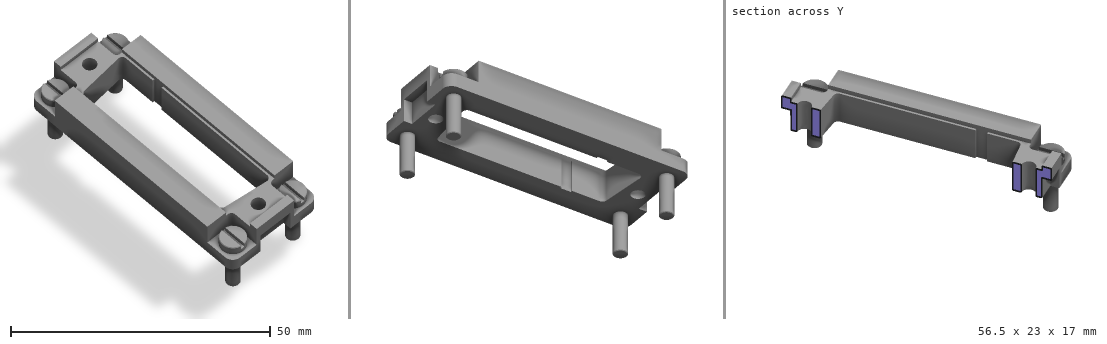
import cadquery as cq
import math

BODY_LENGTH = 56.5
BODY_WIDTH = 23.0
BODY_HEIGHT = 8.0
BODY_CORNER_RADIUS = 2.0
HALF_LENGTH = BODY_LENGTH / 2
HALF_WIDTH = BODY_WIDTH / 2

SADDLE_HEIGHT = 7.0
RAIL_WIDTH = 5.0
LIP_THICKNESS = 1.9
SADDLE_LENGTH = BODY_LENGTH - 2 * LIP_THICKNESS
SADDLE_WIDTH = BODY_WIDTH - 2 * RAIL_WIDTH

LEDGE_HEIGHT = 3.0
LEDGE_LENGTH = 7.0
LEDGE_WIDTH = 6.5
LEDGE_CORNER_RADIUS = 1.0

OPENING_WIDTH = 12.1
OPENING_MID_LENGTH = 40.25
OPENING_SIDE_ANGLE = 6.2
OPENING_CORNER_RADIUS = 1.0

NOTCH_CENTRE_X = -11.0
NOTCH_LENGTH = 2.45

HOLE_DIAMETER = 3.0
HOLE_SPACING = 47.0
RECESS_WIDTH = 8.0
RECESS_HEIGHT = 5.0
RECESS_DEPTH = 1.9

SCREW_SPACING_X = 49.5
SCREW_SPACING_Y = 16.0
HEAD_DIAMETER = 5.5
HEAD_HEIGHT = 2.0
HEAD_CHAMFER = 0.15
SLOT_WIDTH = 0.9
SLOT_DEPTH = 1.0
SHANK_DIAMETER = 3.0
SHANK_PROTRUSION = 9.0
SHANK_CHAMFER = 0.15


def block(length, width, height, x, y, z):
    """Box centred on (x, y) with its underside at z."""
    return cq.Workplane("XY").box(length, width, height, centered=(True, True, False)).translate((x, y, z))


def outer_block():
    body = block(BODY_LENGTH, BODY_WIDTH, BODY_HEIGHT, 0, 0, 0)
    return body.edges("|Z").fillet(BODY_CORNER_RADIUS)


def saddle():
    return block(SADDLE_LENGTH, SADDLE_WIDTH, BODY_HEIGHT - SADDLE_HEIGHT, 0, 0, SADDLE_HEIGHT)


def corner_pocket(side_x, side_y):
    """Space above one corner ledge, rounded at its inner corner."""
    pocket = block(
        LEDGE_LENGTH,
        LEDGE_WIDTH,
        BODY_HEIGHT - LEDGE_HEIGHT,
        side_x * (HALF_LENGTH - LEDGE_LENGTH / 2),
        side_y * (HALF_WIDTH - LEDGE_WIDTH / 2),
        LEDGE_HEIGHT,
    )
    inner_x = "<X" if side_x > 0 else ">X"
    inner_y = "<Y" if side_y > 0 else ">Y"
    return pocket.faces(inner_x).edges("|Z").edges(inner_y).fillet(LEDGE_CORNER_RADIUS)


def connector_opening():
    half_width = OPENING_WIDTH / 2
    side_run = half_width * math.tan(math.radians(OPENING_SIDE_ANGLE))
    long_half = OPENING_MID_LENGTH / 2 + side_run
    short_half = OPENING_MID_LENGTH / 2 - side_run
    outline = [
        (-long_half, half_width),
        (long_half, half_width),
        (short_half, -half_width),
        (-short_half, -half_width),
    ]
    opening = cq.Workplane("XY").polyline(outline).close().extrude(BODY_HEIGHT)
    return opening.edges("|Z").fillet(OPENING_CORNER_RADIUS)


def keying_notches():
    """One slot across the opening, ending flush with the rail walls."""
    return block(NOTCH_LENGTH, SADDLE_WIDTH, BODY_HEIGHT, NOTCH_CENTRE_X, 0, 0)


def mounting_hole(side_x):
    hole = cq.Workplane("XY").circle(HOLE_DIAMETER / 2).extrude(BODY_HEIGHT)
    return hole.translate((side_x * HOLE_SPACING / 2, 0, 0))


def end_recess(side_x):
    centre_x = side_x * (HALF_LENGTH - RECESS_DEPTH / 2)
    return block(RECESS_DEPTH, RECESS_WIDTH, RECESS_HEIGHT, centre_x, 0, 0)


def screw(side_x, side_y):
    """Slotted screw seated on a corner ledge, its shank reaching below the body."""
    head = cq.Workplane("XY").circle(HEAD_DIAMETER / 2).extrude(HEAD_HEIGHT)
    head = head.faces(">Z").edges().chamfer(HEAD_CHAMFER)
    head = head.cut(block(HEAD_DIAMETER, SLOT_WIDTH, SLOT_DEPTH, 0, 0, HEAD_HEIGHT - SLOT_DEPTH))
    shank_length = LEDGE_HEIGHT + SHANK_PROTRUSION
    shank = cq.Workplane("XY").circle(SHANK_DIAMETER / 2).extrude(-shank_length)
    shank = shank.faces("<Z").edges().chamfer(SHANK_CHAMFER)
    seat = (side_x * SCREW_SPACING_X / 2, side_y * SCREW_SPACING_Y / 2, LEDGE_HEIGHT)
    return head.union(shank).translate(seat)


SIDES = (-1, 1)

result = outer_block().cut(saddle()).cut(connector_opening()).cut(keying_notches())
for side_x in SIDES:
    result = result.cut(mounting_hole(side_x)).cut(end_recess(side_x))
    for side_y in SIDES:
        result = result.cut(corner_pocket(side_x, side_y))
        result = result.union(screw(side_x, side_y))